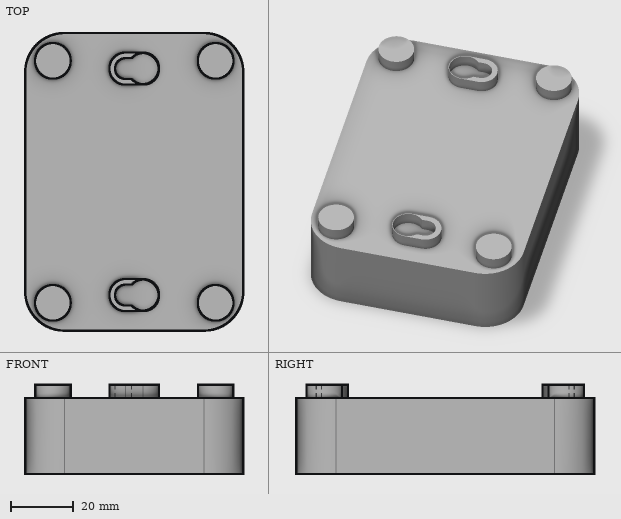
import cadquery as cq

width = 69.8
length = 95.25
total_height = 28.6
raised_height = 4.2
body_height = total_height - raised_height
corner_radius = 12.7

foot_radius = 5.7
foot_spacing_x = 52.0
foot_spacing_y = 77.3

hanger_spacing = 72.4
hanger_width = 10.3
hanger_length = 15.9
head_radius = 5.0
neck_width = 6.7
end_spacing = hanger_length - hanger_width


def make_body():
    return (
        cq.Workplane("XY")
        .rect(width, length)
        .extrude(body_height)
        .edges("|Z")
        .fillet(corner_radius)
    )


def make_feet():
    return (
        cq.Workplane("XY", origin=(0, 0, body_height))
        .rect(foot_spacing_x, foot_spacing_y, forConstruction=True)
        .vertices()
        .circle(foot_radius)
        .extrude(raised_height)
    )


def make_hanger(y):
    """Rim with a keyhole opening, head toward +X, floor level with the body top."""
    base = cq.Workplane("XY", origin=(0, y, body_height))
    rim = base.slot2D(hanger_length, hanger_width).extrude(raised_height)
    neck = base.slot2D(end_spacing + neck_width, neck_width).extrude(raised_height)
    head = base.center(end_spacing / 2, 0).circle(head_radius).extrude(raised_height)
    return rim.cut(neck.union(head))


result = make_body().union(make_feet())
for side in (-1, 1):
    result = result.union(make_hanger(side * hanger_spacing / 2))